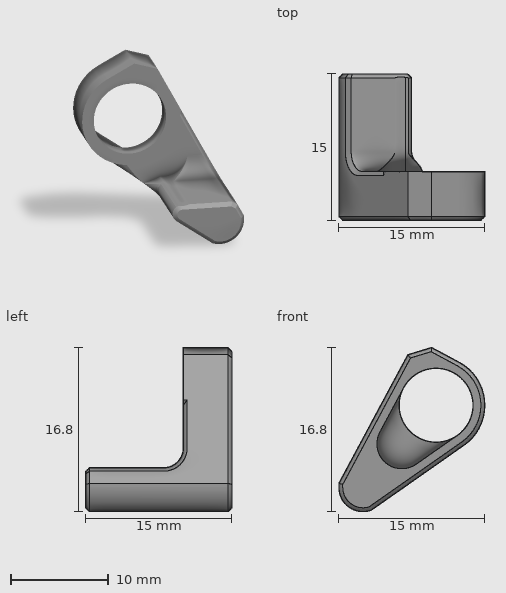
import cadquery as cq
import math

total_depth = 15.0
plate_thickness = 5.0
head_radius = 5.0
hole_radius = 7.55 / 2
edge_chamfer = 0.4

axis_angle = math.radians(48.4)
taper_half_angle = math.radians(13.4)
toe_distance = 11.26
toe_radius = 2.49
head_corner_cut = 1.8

leg_top_z = -6.4
inner_fillet = 2.0
leg_edge_round = 0.96

pocket_depth = 3.0
pocket_distance = 5.28
rear_clearance_radius = 7.2

tool_reach = 33.66

tolerance = 0.002

rear_rim_y = total_depth - edge_chamfer
left_angle = axis_angle + taper_half_angle
right_angle = axis_angle - taper_half_angle
left_normal_angle = left_angle + math.pi / 2
right_normal_angle = right_angle - math.pi / 2
pocket_end_radius = hole_radius - pocket_distance * math.sin(taper_half_angle)


def polar(radius, angle):
    """Point (x, z) at a distance and an angle from the hole axis."""
    return (radius * math.cos(angle), radius * math.sin(angle))


def by_left_side(along, outward):
    """Point (x, z) measured from the hole axis along the left side, upwards, and out towards it."""
    return (
        along * math.cos(left_angle) - outward * math.sin(left_angle),
        along * math.sin(left_angle) + outward * math.cos(left_angle),
    )


def down_axis(distance):
    """Point (x, z) on the centre line, towards the toe."""
    return polar(-distance, axis_angle)


def on_axis_circle(distance, radius, angle):
    """Point (x, z) on a circle centred on the centre line."""
    centre_x, centre_z = down_axis(distance)
    offset_x, offset_z = polar(radius, angle)
    return (centre_x + offset_x, centre_z + offset_z)


def prism(sketch, y_start, y_end):
    """Extrude a closed (x, z) sketch from y_start back to y_end."""
    return sketch.extrude(y_start - y_end).translate((0, y_start, 0))


def cylinder(centre, radius, y_start, y_end):
    return prism(cq.Workplane("XZ").center(*centre).circle(radius), y_start, y_end)


def arm():
    """Tapered body from the toe up to where both sides touch the head, without its end bevels."""
    def on_toe(angle):
        return on_axis_circle(toe_distance, toe_radius, angle)

    toe_left = on_toe(math.pi)
    flat_top_z = (head_radius + toe_left[0] * math.sin(left_angle)) / math.cos(left_angle)
    toe_to_side = head_radius - toe_distance * math.sin(taper_half_angle)
    corner_angle = right_normal_angle - math.acos(toe_to_side / toe_radius)
    sketch = (
        cq.Workplane("XZ")
        .moveTo(toe_left[0], flat_top_z)
        .lineTo(*toe_left)
        .threePointArc(on_toe((corner_angle - math.pi) / 2), on_toe(corner_angle))
        .lineTo(*polar(head_radius, right_normal_angle))
        .lineTo(*by_left_side(0, head_radius))
        .close()
    )
    return prism(sketch, edge_chamfer, rear_rim_y)


def space_above_leg():
    """Everything behind the plate and above the leg, with the inner fillet in its corner."""
    return (
        cq.Workplane("YZ")
        .moveTo(plate_thickness, leg_top_z)
        .lineTo(tool_reach, leg_top_z)
        .lineTo(tool_reach, tool_reach)
        .lineTo(plate_thickness, tool_reach)
        .close()
        .extrude(tool_reach, both=True)
        .edges("|X and <Y and <Z")
        .fillet(inner_fillet)
    )


def upper_side_edges(body, side_angle):
    """Edges of the leg top, inner fillet and plate back on the side whose normal has this angle."""
    normal_x, normal_z = polar(1, side_angle)

    def is_upper_side_edge(edge):
        middle = edge.positionAt(0.5)
        outward = middle.x * normal_x + middle.z * normal_z
        on_side = abs(outward - head_radius) < tolerance
        between_ends = plate_thickness - tolerance < middle.y < rear_rim_y - tolerance
        return on_side and between_ends and middle.z > leg_top_z - tolerance

    return body.newObject([edge for edge in body.edges().vals() if is_upper_side_edge(edge)])


def head():
    """Head with a cut upper-left corner, closed at its lower left by a 45 degree tangent."""
    corner_start = head_radius - head_corner_cut
    octagon_half_side = head_radius * math.tan(math.pi / 8)
    sketch = (
        cq.Workplane("XZ")
        .moveTo(*polar(head_radius, left_normal_angle + math.pi / 4))
        .threePointArc(polar(head_radius, right_normal_angle), by_left_side(head_radius, 0))
        .lineTo(*by_left_side(head_radius, corner_start))
        .lineTo(*by_left_side(corner_start, head_radius))
        .lineTo(*by_left_side(-octagon_half_side, head_radius))
        .close()
    )
    return prism(sketch, edge_chamfer, plate_thickness)


def end_bevel(body, end):
    """Last layer at one end ("<Y" or ">Y"), narrowing at 45 degrees from the body's outline."""
    rim = body.faces(end).wires().vals()
    height = edge_chamfer if end == "<Y" else -edge_chamfer
    return cq.Workplane("XZ").add(rim).toPending().extrude(height, taper=45)


def front_pocket():
    """Rounded slot tapering with the outline, from the hole down to its end arc."""
    def on_end(angle):
        return on_axis_circle(pocket_distance, pocket_end_radius, angle)

    sketch = (
        cq.Workplane("XZ")
        .moveTo(*by_left_side(0, hole_radius))
        .lineTo(*on_end(left_normal_angle))
        .threePointArc(on_end(axis_angle + math.pi), on_end(right_normal_angle))
        .lineTo(*polar(hole_radius, right_normal_angle))
        .close()
    )
    return prism(sketch, 0, pocket_depth)


def rear_clearance():
    """Room behind the plate: a wide circle on the hole axis and the pocket's end arc."""
    wide = cylinder((0, 0), rear_clearance_radius, plate_thickness, total_depth)
    narrow = cylinder(down_axis(pocket_distance), pocket_end_radius, plate_thickness, total_depth)
    return wide.union(narrow)


leg = arm().cut(space_above_leg())
leg = upper_side_edges(leg, left_normal_angle).chamfer(edge_chamfer)
leg = upper_side_edges(leg, right_normal_angle).fillet(leg_edge_round)
body = leg.union(head()).clean()
result = (
    body.union(end_bevel(body, "<Y"))
    .union(end_bevel(body, ">Y"))
    .cut(rear_clearance())
    .cut(front_pocket())
    .cut(cylinder((0, 0), hole_radius, 0, plate_thickness))
)